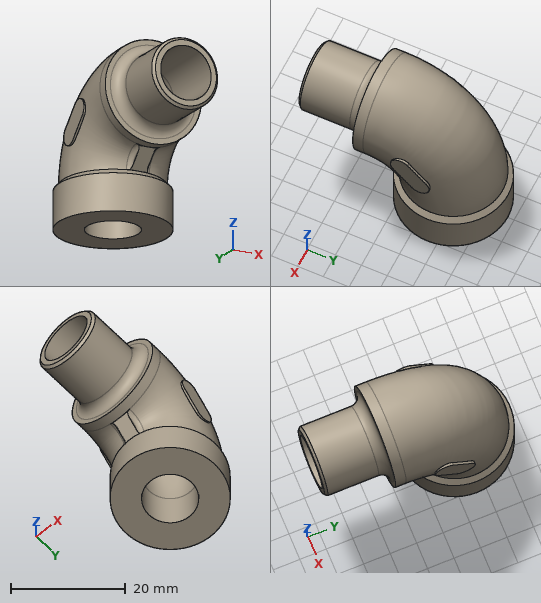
import cadquery as cq
import math


collar_radius = 10.5
collar_height = 7.0
collar_taper_height = 0.98

bend_radius = 12.98
tube_radius = 9.52
bore_radius = 5.0

flange_width = 2.0
spigot_radius = 6.52
spigot_fillet = 2.0
spigot_chamfer = 0.5
spigot_end = 27.0

web_width = 3.0
web_fillet = 1.0

pad_radius = 2.0
pad_center_distance = 5.0
pad_half_span = 9.8
pad_angle = 45

bend_base = collar_height + collar_taper_height
outlet_height = bend_base + bend_radius
flange_end = bend_radius + flange_width


def bent_rod(radius):
    """Quarter torus from the collar top to the flange."""
    return (
        cq.Workplane("XY", origin=(0, 0, bend_base))
        .circle(radius)
        .revolve(90, (-0.38, -bend_radius, 0), (0.38, -bend_radius, 0))
    )


def outlet_rod(radius, start, end):
    """Horizontal cylinder on the outlet axis, between two distances toward -Y."""
    return (
        cq.Workplane("XZ", origin=(0, -start, outlet_height))
        .circle(radius)
        .extrude(end - start)
    )


def collar():
    """Solid of the collar with its tapered shoulder."""
    profile = (
        cq.Workplane("XZ")
        .lineTo(collar_radius, 0)
        .lineTo(collar_radius, collar_height)
        .lineTo(tube_radius, bend_base)
        .lineTo(0, bend_base)
        .close()
    )
    return profile.revolve()


def spigot():
    """Spigot with a concave fillet at the flange and a chamfered tip."""
    tip_radius = spigot_radius - spigot_chamfer
    fillet_end = flange_end + spigot_fillet
    profile = (
        cq.Workplane("XY", origin=(0, 0, outlet_height))
        .moveTo(0, -flange_end)
        .lineTo(spigot_radius + spigot_fillet, -flange_end)
        .radiusArc((spigot_radius, -fillet_end), -spigot_fillet)
        .lineTo(spigot_radius, -spigot_end + spigot_chamfer)
        .lineTo(tip_radius, -spigot_end)
        .lineTo(0, -spigot_end)
        .close()
    )
    return profile.revolve(360, (0, 0, 0), (0, 1, 0))


def webbed_bend():
    """Bend with a web across its inner corner, blended into it and cut off at 45 degrees."""
    end_margin = 0.05
    web = (
        cq.Workplane("YZ", origin=(-web_width / 2, 0, 0))
        .moveTo(-bend_radius, bend_base)
        .lineTo(-bend_radius, outlet_height)
        .lineTo(0, outlet_height)
        .lineTo(0, bend_base)
        .close()
        .extrude(web_width)
    )
    root_box = cq.selectors.BoxSelector(
        (-web_width, -bend_radius + end_margin, bend_base + end_margin),
        (web_width, 0, outlet_height),
    )
    bend = bent_rod(tube_radius).union(web)
    bend = bend.edges(root_box).fillet(web_fillet)
    corner = (
        cq.Workplane("YZ", origin=(-web_width, 0, 0))
        .moveTo(-tube_radius, bend_base)
        .lineTo(-bend_radius, outlet_height - tube_radius)
        .lineTo(-bend_radius, bend_base)
        .close()
        .extrude(2 * web_width)
    )
    return bend.cut(corner)


def pads():
    """Slot-shaped prism through the bend, showing as a raised pad on each side."""
    middle = math.radians(pad_angle)
    pad_y = -bend_radius * (1 - math.cos(middle))
    pad_z = bend_base + bend_radius * math.sin(middle)
    return (
        cq.Workplane("YZ", origin=(0, pad_y, pad_z))
        .slot2D(pad_center_distance + 2 * pad_radius, 2 * pad_radius, pad_angle - 90)
        .extrude(pad_half_span, both=True)
    )


flange = outlet_rod(tube_radius, bend_radius, flange_end)
body = webbed_bend().union(collar()).union(flange).union(spigot()).union(pads())

collar_bore = cq.Workplane("XY").circle(bore_radius).extrude(bend_base)
outlet_bore = outlet_rod(bore_radius, bend_radius, spigot_end)
bore = collar_bore.union(bent_rod(bore_radius)).union(outlet_bore)
result = body.cut(bore)